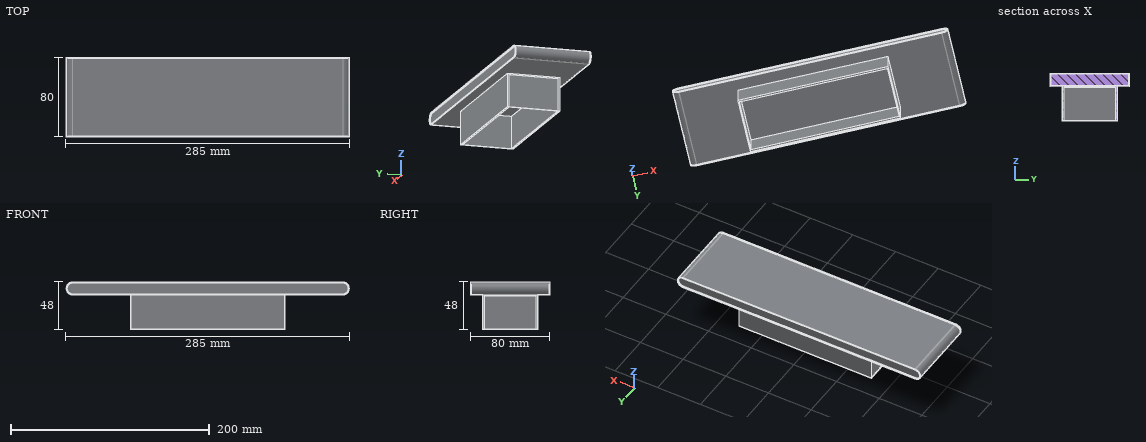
import cadquery as cq

length = 285.0
depth = 80.0
height = 48.0

bar_thickness = 13.0
sleeve_wall = 1.0
core_recess = 1.0

base_length = 155.3
base_depth = 55.5
base_height = height - bar_thickness
side_wall = 2.0
end_wall = 1.0
top_wall = 1.0

bar_middle = base_height + bar_thickness / 2


def rounded_bar(inset, bar_depth):
    """Bar with semicircular ends, drawn in from the outer outline by inset."""
    return (
        cq.Workplane("XZ", origin=(0, 0, bar_middle))
        .slot2D(length - 2 * inset, bar_thickness - 2 * inset)
        .extrude(bar_depth / 2, both=True)
    )


def make_core():
    """Core set back from both open ends of the sleeve."""
    return rounded_bar(sleeve_wall, depth - 2 * core_recess)


def make_sleeve():
    return rounded_bar(0, depth).cut(rounded_bar(sleeve_wall, depth))


def make_base():
    """Box with thin end walls, open at the bottom and closed under the bar."""
    block = cq.Workplane("XY").box(base_length, base_depth, base_height, centered=(True, True, False))
    cavity = cq.Workplane("XY").box(
        base_length - 2 * end_wall,
        base_depth - 2 * side_wall,
        base_height - top_wall,
        centered=(True, True, False),
    )
    return block.cut(cavity)


sleeve = make_sleeve()
core = make_core()
base = make_base()

result = cq.Compound.makeCompound([sleeve.val(), core.val(), base.val()])